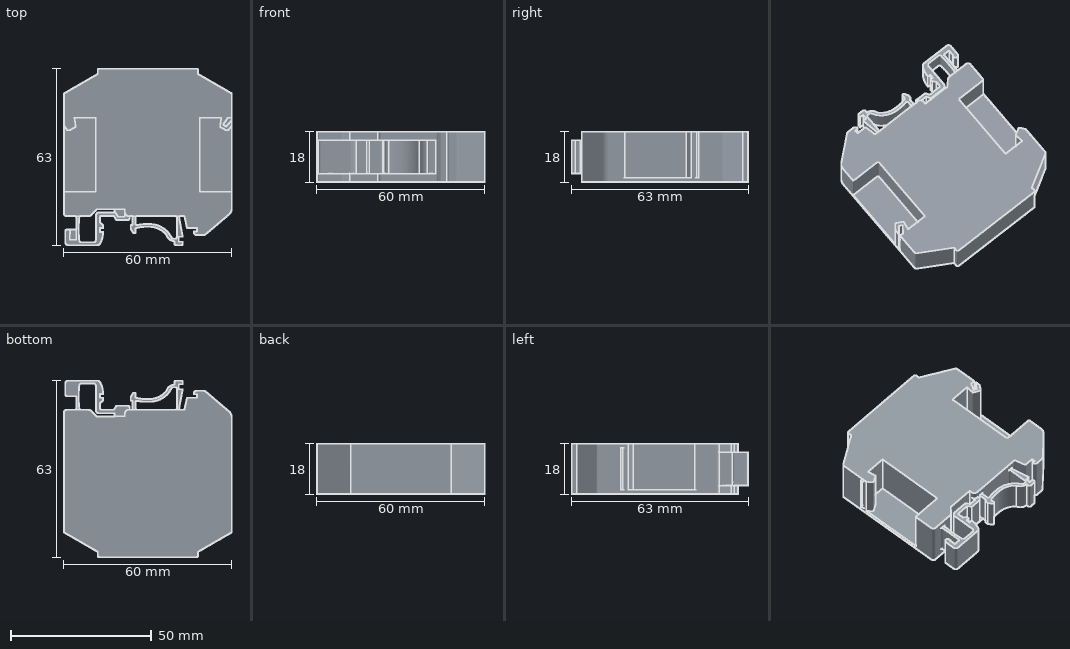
import cadquery as cq
import math


width = 60.0
height = 63.0
thickness = 18.0
half_width = width / 2
base_y = 10.4
head_half_width = 17.9
head_step = 1.9
shoulder_y = 54.1
head_corner_radius = 0.5
shoulder_radius = 0.6
base_corner_radius = 1.0

recess_left_x = -20.55
recess_ramp_x = -18.2
recess_right_x = -8.2
recess_y = 12.8
recess_lip_radius = 1.3
recess_ramp_radius = 1.25

claw_root_x = 13.0
claw_inner_x = 13.9
claw_slot_y = 6.1
claw_slot_end_x = 17.5
claw_lip_y = 4.9
claw_tip_x = 16.4
claw_bottom_y = 3.6
claw_bottom_x = 20.3
slope_top_y = 11.85
claw_root_radius = 0.4
claw_nose_radius = 1.0
claw_heel_radius = 1.5
slope_top_radius = 3.0

pocket_floor_z = 1.5
pocket_inner_x = 18.5
pocket_bottom_y = 19.0
pocket_top_y = 45.4
pocket_corner_radius = 0.5
lip_root_x = 26.2
lip_inner_x = 25.7
lip_inner_y = 42.2
lip_end_x = 28.5
lip_end_y = 40.7
lip_outer_y = 42.8
lip_inner_radius = 0.3
lip_end_radius = 0.75
pocket_mouth_radius = 0.3

slit_mouth_bottom_y = 44.65
slit_top_x = 28.5
slit_inner_x = 26.85
slit_inner_y = 43.0
slit_outer_x = 27.9
slit_outer_y = 42.35
covered_slit_top_z = 16.6

foot_thickness = 12.0
foot_bottom_z = (thickness - foot_thickness) / 2
web_thickness = 1.2
strut_root_radius = 0.5

latch_left_x = -29.5
latch_slot_left_x = -27.9
latch_bulge_x = -27.7
latch_bulge_y = 4.2
latch_top_y = 5.7
latch_tip_radius = 0.75
latch_slot_y = 1.95
latch_corner_radius = 1.0
spring_left_x = -25.5
spring_right_x = -24.4
spring_waist_x = -24.65
latch_floor_y = 1.1
latch_window_radius = 0.75
post_left_x = -18.6
post_right_x = -17.0
post_nose_x = -15.95
post_toe_x = -17.95
post_toe_mid_x = -17.45
post_toe_mid_y = 0.1
post_heel_x = -17.1
post_heel_y = 0.45
post_flank_x = -16.3
post_flank_y = 2.15
groove_bottom_y = 4.8
groove_top_y = 6.1
nose_top_y = 7.1
nose_root_y = 8.05
arm_top_y = 11.7
arm_corner_radius = 1.2
arm_inner_radius = 0.4
cup_outer_x = -12.15
cup_outer_bottom_x = -11.3
cup_outer_y = 8.95
cup_inner_x = -11.6
cup_inner_bottom_x = -10.7
cup_inner_y = 10.2
cup_right_x = -6.4
cup_corner_radius = 0.9
cup_web_left_x = -12.0

stem_left_x = -5.55
stem_right_x = -4.4
bead_left_x = -6.2
bead_top_y = 7.25
bead_low_y = 5.85
bead_tip_x = -5.2
bead_tip_y = 4.3
bead_radius = 0.25
bow_top_x = 0.5
bow_top_y = 6.55
bow_thickness = 1.1
bow_radius = 8.0
bow_angle = 49
bow_left_y = 6.05
bow_left_mid_x = -2.0
bow_left_mid_y = 6.5
bow_return_x = 7.9
bow_return_y = 1.95
bow_foot_y = 1.4
bow_inner_foot_x = 8.7
bow_inner_foot_y = 2.4
bow_corner_radius = 0.5
bow_end_radius = 0.3
strut_left_x = 10.35
strut_right_x = 11.1
strut_tip_x = 12.5
strut_groove_top_y = 3.0
strut_groove_bottom_y = 1.3
toe_left_x = 9.45
toe_radius = 0.55


def extrude(outline, bottom_z, top_z):
    return outline.close().extrude(top_z - bottom_z).translate((0, 0, bottom_z))


def round_corners(solid, radius, *corners):
    """Round the upright edges that stand at the given XY corners."""
    mid_z = solid.val().Center().z
    for x, y in corners:
        edge = cq.selectors.NearestToPointSelector((x, y, mid_z))
        solid = solid.edges("|Z").edges(edge).fillet(radius)
    return solid


def make_housing():
    outline = (
        cq.Workplane()
        .moveTo(-half_width, base_y)
        .lineTo(recess_left_x, base_y)
        .lineTo(recess_ramp_x, recess_y)
        .lineTo(recess_right_x, recess_y)
        .lineTo(recess_right_x, base_y)
        .lineTo(claw_root_x, base_y)
        .lineTo(claw_inner_x, claw_slot_y)
        .lineTo(claw_slot_end_x, claw_slot_y)
        .lineTo(claw_slot_end_x, claw_lip_y)
        .lineTo(claw_tip_x, claw_lip_y)
        .lineTo(claw_tip_x, claw_bottom_y)
        .lineTo(claw_bottom_x, claw_bottom_y)
        .lineTo(half_width, slope_top_y)
        .lineTo(half_width, shoulder_y)
        .lineTo(head_half_width, height - head_step)
        .lineTo(head_half_width, height)
        .lineTo(-head_half_width, height)
        .lineTo(-head_half_width, height - head_step)
        .lineTo(-half_width, shoulder_y)
    )
    housing = extrude(outline, 0, thickness)
    housing = round_corners(housing, base_corner_radius, (-half_width, base_y))
    housing = round_corners(housing, recess_ramp_radius, (recess_left_x, base_y))
    housing = round_corners(housing, recess_lip_radius, (recess_right_x, base_y))
    housing = round_corners(
        housing, claw_root_radius, (claw_root_x, base_y), (claw_inner_x, claw_slot_y)
    )
    housing = round_corners(housing, claw_nose_radius, (claw_tip_x, claw_bottom_y))
    housing = round_corners(housing, claw_heel_radius, (claw_bottom_x, claw_bottom_y))
    housing = round_corners(housing, slope_top_radius, (half_width, slope_top_y))
    for side in (-1, 1):
        housing = round_corners(housing, shoulder_radius, (side * half_width, shoulder_y))
        housing = round_corners(housing, head_corner_radius, (side * head_half_width, height))
    return housing


def make_pocket(side):
    """Pocket open to the side and the top; its upper edge leaves a hanging lip."""
    edge_x = side * half_width
    outline = (
        cq.Workplane()
        .moveTo(edge_x, pocket_bottom_y)
        .lineTo(side * pocket_inner_x, pocket_bottom_y)
        .lineTo(side * pocket_inner_x, pocket_top_y)
        .lineTo(side * lip_root_x, pocket_top_y)
        .lineTo(side * lip_inner_x, lip_inner_y)
        .lineTo(side * lip_end_x, lip_end_y)
        .lineTo(edge_x, lip_outer_y)
    )
    pocket = extrude(outline, pocket_floor_z, thickness)
    pocket = round_corners(pocket, pocket_corner_radius, (side * pocket_inner_x, pocket_bottom_y))
    pocket = round_corners(pocket, lip_inner_radius, (side * lip_inner_x, lip_inner_y))
    return round_corners(pocket, lip_end_radius, (side * lip_end_x, lip_end_y))


def make_slit(side, top_z):
    outline = (
        cq.Workplane()
        .moveTo(side * half_width, slit_mouth_bottom_y)
        .lineTo(side * half_width, pocket_top_y)
        .lineTo(side * slit_top_x, pocket_top_y)
        .lineTo(side * slit_inner_x, slit_inner_y)
        .lineTo(side * slit_outer_x, slit_outer_y)
    )
    return extrude(outline, pocket_floor_z, top_z)


def make_latch_foot():
    outline = (
        cq.Workplane()
        .moveTo(latch_left_x, 0)
        .lineTo(post_toe_x, 0)
        .threePointArc((post_toe_mid_x, post_toe_mid_y), (post_heel_x, post_heel_y))
        .threePointArc((post_flank_x, post_flank_y), (post_nose_x, groove_bottom_y))
        .lineTo(post_right_x, groove_bottom_y)
        .lineTo(post_right_x, groove_top_y)
        .lineTo(post_nose_x, groove_top_y)
        .lineTo(post_nose_x, nose_top_y)
        .lineTo(post_right_x, nose_root_y)
        .lineTo(post_right_x, base_y)
        .lineTo(cup_outer_x, base_y)
        .lineTo(cup_outer_bottom_x, cup_outer_y)
        .lineTo(cup_right_x, cup_outer_y)
        .lineTo(cup_right_x, base_y)
        .lineTo(recess_right_x, base_y + recess_lip_radius)
        .lineTo(recess_right_x, cup_inner_y)
        .lineTo(cup_inner_bottom_x, cup_inner_y)
        .lineTo(cup_inner_x, arm_top_y)
        .lineTo(post_left_x, arm_top_y)
        .lineTo(post_left_x, latch_floor_y)
        .lineTo(spring_right_x, latch_floor_y)
        .threePointArc((spring_waist_x, (latch_floor_y + base_y) / 2), (spring_right_x, base_y))
        .lineTo(spring_left_x, base_y)
        .lineTo(spring_left_x, latch_slot_y)
        .lineTo(latch_slot_left_x, latch_slot_y)
        .lineTo(latch_slot_left_x, latch_bulge_y)
        .lineTo(latch_bulge_x, latch_bulge_y)
        .lineTo(latch_bulge_x, latch_top_y)
        .lineTo(latch_left_x, latch_top_y)
    )
    foot = extrude(outline, foot_bottom_z, foot_bottom_z + foot_thickness)
    foot = round_corners(foot, latch_corner_radius, (latch_left_x, 0))
    foot = round_corners(
        foot, latch_tip_radius, (latch_left_x, latch_top_y), (latch_bulge_x, latch_top_y)
    )
    foot = round_corners(
        foot,
        latch_window_radius,
        (spring_right_x, latch_floor_y),
        (post_left_x, latch_floor_y),
    )
    foot = round_corners(foot, arm_corner_radius, (post_left_x, arm_top_y))
    foot = round_corners(foot, arm_inner_radius, (post_right_x, base_y))
    foot = round_corners(foot, cup_corner_radius, (cup_right_x, cup_outer_y))
    return foot


def make_webs():
    """Thin floors that close the latch slot and the cup at their lower ends."""
    web_top_z = foot_bottom_z + web_thickness
    latch_web = extrude(
        cq.Workplane()
        .moveTo(latch_left_x + latch_corner_radius, latch_floor_y)
        .lineTo(spring_waist_x, latch_floor_y)
        .lineTo(spring_left_x, latch_top_y)
        .lineTo(latch_left_x + latch_tip_radius, latch_top_y),
        foot_bottom_z,
        web_top_z,
    )
    cup_web = extrude(
        cq.Workplane()
        .moveTo(cup_web_left_x, recess_y)
        .lineTo(cup_web_left_x, base_y)
        .lineTo(cup_outer_x, base_y)
        .lineTo(cup_outer_bottom_x, cup_outer_y)
        .lineTo(recess_right_x, cup_outer_y)
        .lineTo(recess_right_x, recess_y),
        foot_bottom_z,
        web_top_z,
    )
    return latch_web.union(cup_web)


def make_sprung_foot():
    """Bead and toe that hang from two struts and are joined by a curved bow."""
    bow_center_y = bow_top_y - bow_radius

    def bow_point(radius, angle):
        """Point on the right half of the bow, at an angle from its top."""
        turn = math.radians(angle)
        return bow_top_x + radius * math.sin(turn), bow_center_y + radius * math.cos(turn)

    outer_radius = bow_radius + bow_thickness
    outline = (
        cq.Workplane()
        .moveTo(stem_left_x, base_y)
        .lineTo(stem_left_x, bead_top_y)
        .lineTo(bead_left_x, bead_top_y)
        .lineTo(bead_left_x, bead_low_y)
        .lineTo(bead_tip_x, bead_tip_y)
        .lineTo(stem_right_x, bead_tip_y)
        .lineTo(stem_right_x, bow_left_y)
        .threePointArc((bow_left_mid_x, bow_left_mid_y), (bow_top_x, bow_top_y))
        .threePointArc(bow_point(bow_radius, bow_angle / 2), bow_point(bow_radius, bow_angle))
        .threePointArc((bow_return_x, bow_return_y), (toe_left_x, bow_foot_y))
        .lineTo(toe_left_x, 0)
        .lineTo(strut_tip_x, 0)
        .lineTo(strut_tip_x, strut_groove_bottom_y)
        .lineTo(strut_right_x, strut_groove_bottom_y)
        .lineTo(strut_right_x, strut_groove_top_y)
        .lineTo(strut_tip_x, strut_groove_top_y)
        .lineTo(strut_right_x, base_y)
        .lineTo(strut_left_x, base_y)
        .lineTo(strut_left_x, bow_inner_foot_y)
        .lineTo(bow_inner_foot_x, bow_inner_foot_y)
        .lineTo(*bow_point(outer_radius, bow_angle))
        .threePointArc(bow_point(outer_radius, bow_angle / 2), bow_point(outer_radius, 0))
        .threePointArc(
            (bow_left_mid_x, bow_left_mid_y + bow_thickness),
            (stem_right_x, bow_left_y + bow_thickness),
        )
        .lineTo(stem_right_x, base_y)
    )
    foot = extrude(outline, foot_bottom_z, foot_bottom_z + foot_thickness)
    foot = round_corners(
        foot, bead_radius, (bead_left_x, bead_top_y), (bead_tip_x, bead_tip_y), (stem_right_x, bead_tip_y)
    )
    foot = round_corners(foot, bow_end_radius, (stem_right_x, bow_left_y))
    foot = round_corners(foot, toe_radius, (toe_left_x, 0), (strut_tip_x, 0))
    return round_corners(
        foot,
        bow_corner_radius,
        (strut_left_x, bow_inner_foot_y),
        (bow_inner_foot_x, bow_inner_foot_y),
        (stem_right_x, bow_left_y + bow_thickness),
    )


result = make_housing()
for side, slit_top_z in ((-1, covered_slit_top_z), (1, thickness)):
    result = result.cut(make_pocket(side)).cut(make_slit(side, slit_top_z))
    result = round_corners(result, pocket_mouth_radius, (side * half_width, pocket_bottom_y))
result = result.union(make_latch_foot()).union(make_webs()).union(make_sprung_foot())
strut_faces = (spring_left_x, spring_right_x, stem_right_x, strut_left_x, strut_right_x)
result = round_corners(result, strut_root_radius, *((x, base_y) for x in strut_faces))